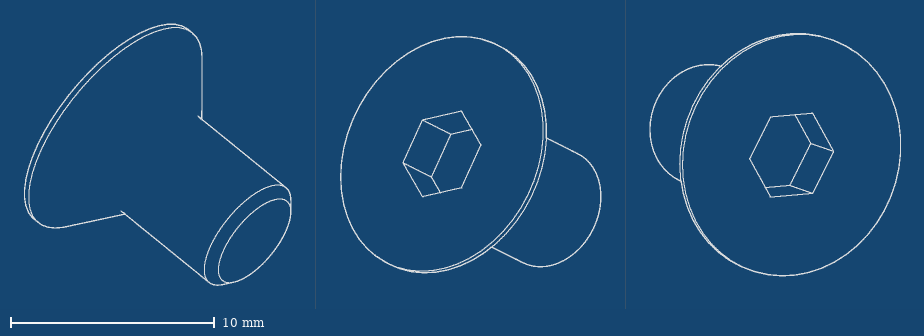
import cadquery as cq
import math

length = 10.0
head_diameter = 12.0
shank_diameter = 6.0
rim_thickness = 0.3
neck_fillet_radius = 0.3
tip_chamfer = 0.49
socket_across_flats = 4.0
socket_depth = 2.5

head_radius = head_diameter / 2
shank_radius = shank_diameter / 2

neck_x = rim_thickness + head_radius - shank_radius

cone_angle = math.radians(45)
tangent_length = neck_fillet_radius * math.tan(cone_angle / 2)
fillet_center = (neck_x + tangent_length, shank_radius + neck_fillet_radius)


def fillet_point(angle):
    """Point on the neck fillet, with the angle measured from the shank tangent point."""
    return (
        fillet_center[0] - neck_fillet_radius * math.sin(angle),
        fillet_center[1] - neck_fillet_radius * math.cos(angle),
    )


def make_body():
    """Revolve the half profile of head and shank about the X axis."""
    return (
        cq.Workplane("XY")
        .lineTo(0, head_radius)
        .lineTo(rim_thickness, head_radius)
        .lineTo(*fillet_point(cone_angle))
        .threePointArc(fillet_point(cone_angle / 2), fillet_point(0))
        .lineTo(length - tip_chamfer, shank_radius)
        .lineTo(length, shank_radius - tip_chamfer)
        .lineTo(length, 0)
        .close()
        .revolve(360, (0, 0, 0), (1, 0, 0))
    )


def make_socket():
    """Flat-bottomed hexagonal prism with two corners on the Y axis."""
    across_corners = socket_across_flats / math.cos(math.pi / 6)
    return cq.Workplane("YZ").polygon(6, across_corners).extrude(socket_depth)


result = make_body().cut(make_socket())